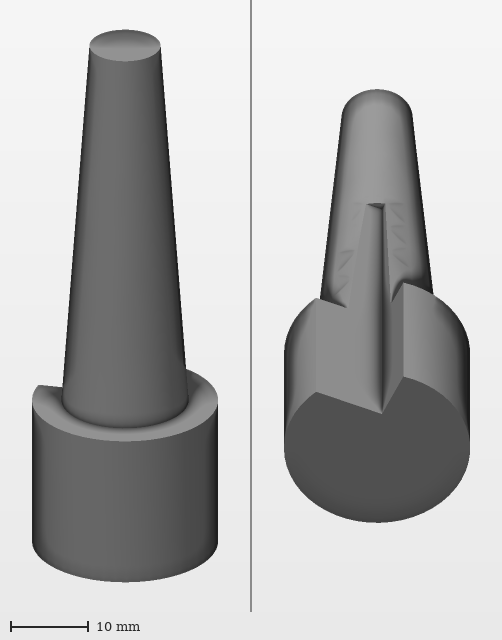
import cadquery as cq
import math

base_radius = 11.96
base_height = 20.2

total_height = 71.01
stem_bottom_radius = 8.17
stem_top_radius = 4.57

notch_top = 43.95
notch_apex_x = -4.95
notch_apex_y = -2.4
rim_upper_y = 4.4
rim_lower_y = -6.98
notch_overreach = 2.0


def make_base():
    return cq.Workplane("XY").circle(base_radius).extrude(base_height)


def make_stem():
    profile = [
        (0, base_height),
        (stem_bottom_radius, base_height),
        (stem_top_radius, total_height),
        (0, total_height),
    ]
    return cq.Workplane("XZ").polyline(profile).close().revolve(360, (0, 0), (0, 1))


def beyond_rim(rim_y):
    """Point on the line from the notch apex through the -X rim at rim_y, outside the base."""
    rim_x = -math.sqrt(base_radius**2 - rim_y**2)
    x = notch_apex_x + notch_overreach * (rim_x - notch_apex_x)
    y = notch_apex_y + notch_overreach * (rim_y - notch_apex_y)
    return (x, y)


def make_notch():
    corners = [
        (notch_apex_x, notch_apex_y),
        beyond_rim(rim_upper_y),
        beyond_rim(rim_lower_y),
    ]
    return cq.Workplane("XY").polyline(corners).close().extrude(notch_top)


result = make_base().union(make_stem()).cut(make_notch())